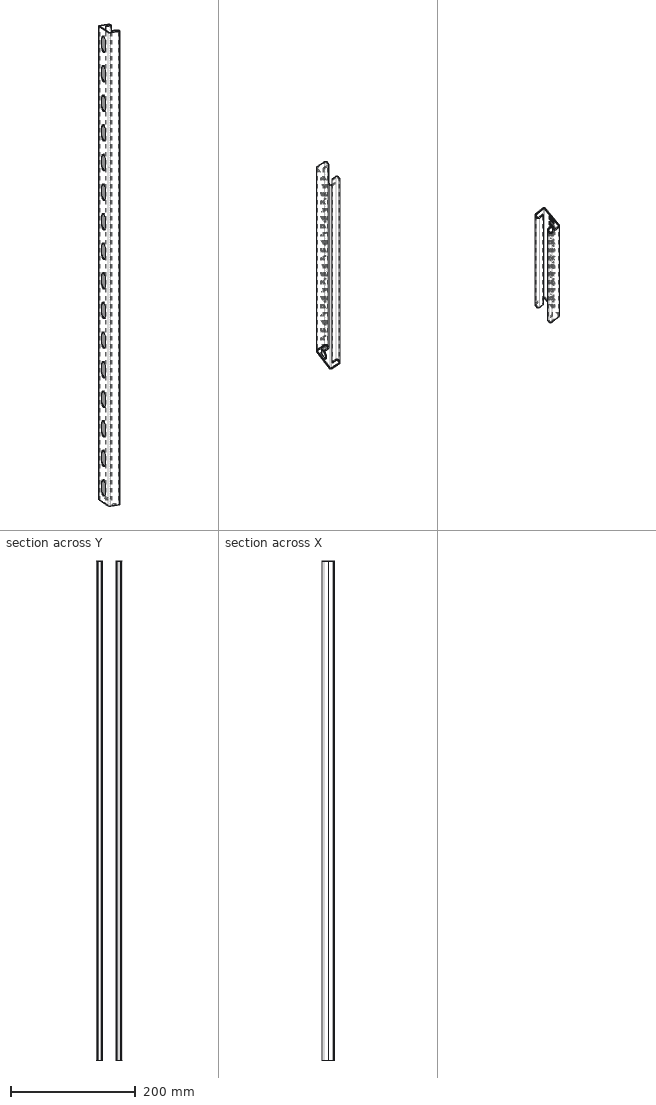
import cadquery as cq

length = 800.0
width = 41.0
depth = 21.0

wall = 2.0
outer_bend_radius = 3.0
inner_bend_radius = outer_bend_radius - wall

mouth_width = 22.0
lip_depth = 11.0

slot_count = 16
slot_pitch = length / slot_count
slot_width = 13.0
slot_length = 27.0

back_y = -depth / 2
front_y = depth / 2


def vertical_prism(x_size, y_size, y_start, height=length):
    """Box centred on X and Z that starts at y_start and extends toward +Y."""
    return cq.Workplane("XY").box(x_size, y_size, height).translate((0, y_start + y_size / 2, 0))


def rounded_tube():
    """Closed rectangular tube with bent corners."""
    outside = vertical_prism(width, depth, back_y).edges("|Z").fillet(outer_bend_radius)
    inside = vertical_prism(width - 2 * wall, depth - 2 * wall, back_y + wall)
    return outside.cut(inside.edges("|Z").fillet(inner_bend_radius))


def lip_pair():
    """Both lips, each bent from the front flange toward the back wall."""
    mouth_edge = mouth_width / 2
    lip_inner_face = mouth_edge + wall
    lip_end_y = front_y - lip_depth
    bend_center_y = front_y - outer_bend_radius
    bend_center_x = mouth_edge + outer_bend_radius
    diagonal = 0.5 ** 0.5

    def arc_middle(radius):
        return (bend_center_x - radius * diagonal, bend_center_y + radius * diagonal)

    lip = (
        cq.Workplane("XY", origin=(0, 0, -length / 2))
        .moveTo(mouth_edge, lip_end_y)
        .lineTo(mouth_edge, bend_center_y)
        .threePointArc(arc_middle(outer_bend_radius), (bend_center_x, front_y))
        .lineTo(bend_center_x, front_y - wall)
        .threePointArc(arc_middle(inner_bend_radius), (lip_inner_face, bend_center_y))
        .lineTo(lip_inner_face, lip_end_y)
        .close()
        .extrude(length)
    )
    return lip.union(lip.mirror("YZ"))


def channel():
    """Tube opened at the front between the lip bends, with the lips added."""
    opening_width = mouth_width + 2 * outer_bend_radius
    opening = vertical_prism(opening_width, wall, front_y - wall)
    return rounded_tube().cut(opening).union(lip_pair())


def slots():
    """Vertical round-ended slots through the back wall."""
    return (
        cq.Workplane("XZ", origin=(0, back_y + wall, 0))
        .rarray(8, slot_pitch, 1, slot_count)
        .slot2D(slot_length, slot_width, angle=90)
        .extrude(wall)
    )


result = channel().cut(slots())